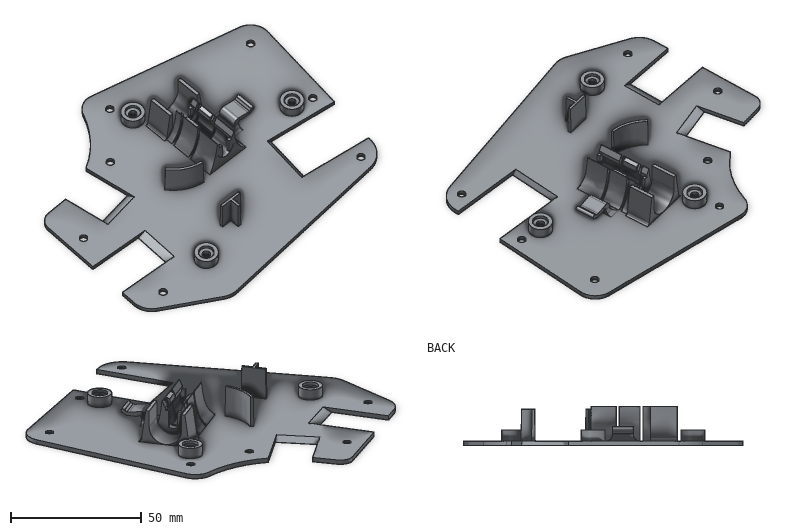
import cadquery as cq
import math

plate_thickness = 1.8
total_height = 15.0
plate_corners = [
    (17.4, 129.8, 8.2),
    (98.7, 119.5, 10.0),
    (107.4, 29.8, 9.3),
    (89.4, 0.1, 9.3),
    (30.1, 2.2, 5.0),
    (29.6, 16.3, 0),
    (24.2, 32.5, 0),
    (5.8, 49.5, 0),
    (-1.0, 52.6, 7.1),
]
scallop_center = (-10.3, 13.9)
scallop_radius = 39.1

notches = [
    (73.8, 90.3, 22.0, 82.8, 1.8),
    (70.1, 27.4, 16.9, -92.6, 3.5),
    (48.4, 27.9, 16.7, 189.0, 3.3),
]
notch_reach = 51.5

hole_diameter = 3.2
plate_holes = [
    (24.3, 120.2), (60.0, 118.9), (93.4, 112.2), (9.8, 59.2), (28.4, 41.4), (48.0, 8.2), (88.0, 12.0),
]
boss_centers = [(57.5, 110.1), (19.3, 62.3), (88.0, 35.0)]
boss_diameter = 9.3
boss_top = 6.0
counterbore_diameter = 6.0
counterbore_depth = 1.3

axis_y = 74.1
axis_z = 8.4

cradle_start = 25.2
cradle_end = 35.6
cradle_radius = 6.4
cradle_top_half_width = 7.8
cradle_knee = (9.5, 3.1)
cradle_foot_bend = (9.9, 2.3)
cradle_foot_half_width = 10.7

clip_end = 59.5
clip_top_end = 58.3
clip_top_half_width = 4.5
clip_foot_half_width = 9.6
clip_waist = (6.0, 6.7)
clip_rim_slope = (0.1, -1.0)
clip_foot_slope = (1.0, -0.6)
clip_end_flare_top = 7.7
clip_bore_radius = 4.0
clip_end_wall = 1.3
clip_rim = 0.1
lip_half_width = 3.1
lip_top = 12.6
end_wall_top = 11.6
throat_half_width = 1.8
clip_gaps = [(38.5, 39.5), (47.6, 48.6)]

hook_profile = [(4.4, 15.0), (2.8, 14.4), (2.5, 12.4), (3.1, 11.6), (4.4, 11.6)]
hook_inset = 0.9
floor_slot_inner = 1.4

lever_start = 42.1
lever_end = 50.2
lever_back = 88.6
lever_front = 86.3
foot_radius = 2.5
lever_shoulder = (87.0, 6.3)
lever_crest = (lever_back, 7.1)
lever_top = [(93.7, 6.2), (94.5, 6.2), (95.5, 6.8)]
lever_tip = (97.0, 6.5)
lever_underside = [(96.4, 5.7), (94.8, 4.8), (90.8, 4.8), (89.5, 5.1)]
lever_armpit = (88.9, 4.9)

rib_top = 14.0
rib_thickness = 1.4
rib_draft = 0.19
curved_rib_center = (41.2, 62.7)
curved_rib_radius = 18.8
curved_rib_angles = (-53.8, -7.0)
tee_stem_x = 80.4
tee_stem_start = 50.3
tee_stem_end = 60.2
tee_branch_y = 55.5
tee_branch_end = 85.2


def rounded_outline(corners):
    """Closed outline through the corners, each rounded by its own tangent arc."""
    outline = cq.Workplane()
    for index, (x, y, radius) in enumerate(corners):
        corner = cq.Vector(x, y)
        back = (cq.Vector(*corners[index - 1][:2]) - corner).normalized()
        ahead = (cq.Vector(*corners[(index + 1) % len(corners)][:2]) - corner).normalized()
        half_angle = back.getAngle(ahead) / 2
        tangent_length = radius / math.tan(half_angle)
        first = corner + back * tangent_length
        if index == 0:
            outline = outline.moveTo(first.x, first.y)
        else:
            outline = outline.lineTo(first.x, first.y)
        if radius > 0:
            inward = (back + ahead).normalized()
            middle = corner + inward * (radius / math.sin(half_angle) - radius)
            last = corner + ahead * tangent_length
            outline = outline.threePointArc((middle.x, middle.y), (last.x, last.y))
    return outline.close()


def box(x_range, y_range, z_range):
    """Axis-aligned box given by its limits."""
    size = [high - low for low, high in (x_range, y_range, z_range)]
    return cq.Workplane().box(*size, centered=False).translate((x_range[0], y_range[0], z_range[0]))


def profile_plane(x):
    """Plane across the clip axis: local x is the offset from the axis, local y is the height."""
    return cq.Workplane("YZ", origin=(x, axis_y, 0))


def notch_cutter(x, y, width, angle, run_out):
    profile = [
        (0, plate_thickness),
        (notch_reach, plate_thickness),
        (notch_reach, 0),
        (run_out, 0),
    ]
    cutter = cq.Workplane("XZ").polyline(profile).close().extrude(width / 2, both=True)
    return cutter.rotate((0, 0, 0), (0, 0, 1), angle).translate((x, y, 0))


def make_plate():
    plate = rounded_outline(plate_corners).extrude(plate_thickness)
    plate = plate.cut(
        cq.Workplane().center(*scallop_center).circle(scallop_radius).extrude(plate_thickness)
    )
    for notch in notches:
        plate = plate.cut(notch_cutter(*notch))
    return plate


def make_cradle():
    foot = (cradle_foot_half_width, plate_thickness)
    left = [(-y, z) for y, z in (foot, cradle_foot_bend, cradle_knee)]
    return (
        profile_plane(cradle_start)
        .moveTo(-cradle_foot_half_width, 0)
        .lineTo(*left[0])
        .threePointArc(left[1], left[2])
        .lineTo(-cradle_top_half_width, total_height)
        .lineTo(-cradle_radius, total_height)
        .lineTo(-cradle_radius, axis_z)
        .threePointArc((0, axis_z - cradle_radius), (cradle_radius, axis_z))
        .lineTo(cradle_radius, total_height)
        .lineTo(cradle_top_half_width, total_height)
        .lineTo(*cradle_knee)
        .threePointArc(cradle_foot_bend, foot)
        .lineTo(cradle_foot_half_width, 0)
        .close()
        .extrude(cradle_end - cradle_start)
    )


def clip_blank():
    """Solid clip whose flanks and free end flare out towards the plate."""
    half = (
        profile_plane(cradle_end)
        .lineTo(0, total_height)
        .lineTo(clip_top_half_width, total_height)
        .spline(
            [clip_waist, (clip_foot_half_width, plate_thickness)],
            tangents=[clip_rim_slope, clip_foot_slope],
            includeCurrent=True,
        )
        .lineTo(clip_foot_half_width, 0)
        .close()
        .extrude(clip_end - cradle_end)
    )
    flare_height = clip_end_flare_top - plate_thickness
    flare_run = clip_end - clip_top_end
    flare_radius = (flare_height**2 + flare_run**2) / (2 * flare_run)
    half_sweep = math.asin(flare_height / flare_radius) / 2
    flare_middle = (
        clip_top_end + flare_radius * (1 - math.cos(half_sweep)),
        clip_end_flare_top - flare_radius * math.sin(half_sweep),
    )
    beyond_end = (
        cq.Workplane("XZ", origin=(0, axis_y, 0))
        .moveTo(clip_end, plate_thickness)
        .threePointArc(flare_middle, (clip_top_end, clip_end_flare_top))
        .lineTo(clip_top_end, total_height)
        .lineTo(clip_end, total_height)
        .close()
        .extrude(clip_foot_half_width, both=True)
    )
    return half.union(half.mirror("XZ", (0, axis_y, 0))).cut(beyond_end)


def clip_cavity():
    """Round bore along the whole clip, opening upwards through an upright lip and a lead-in."""
    lip_bottom = axis_z + math.sqrt(clip_bore_radius**2 - lip_half_width**2)
    mouth_half_width = clip_top_half_width - clip_rim
    return (
        profile_plane(cradle_end)
        .moveTo(-mouth_half_width, total_height)
        .lineTo(-lip_half_width, lip_top)
        .lineTo(-lip_half_width, lip_bottom)
        .threePointArc((0, axis_z - clip_bore_radius), (lip_half_width, lip_bottom))
        .lineTo(lip_half_width, lip_top)
        .lineTo(mouth_half_width, total_height)
        .close()
        .extrude(clip_end - cradle_end)
    )


def end_wall(x_range):
    """Wall across the bore, split by a narrow slot down to the bore floor."""
    half = box(
        x_range,
        (axis_y + throat_half_width, axis_y + clip_top_half_width - clip_rim),
        (axis_z - clip_bore_radius, end_wall_top),
    )
    return half.union(half.mirror("XZ", (0, axis_y, 0)))


def make_clip():
    clip = clip_blank().cut(clip_cavity())
    for wall_start in (cradle_end, clip_top_end - clip_end_wall):
        clip = clip.union(end_wall((wall_start, wall_start + clip_end_wall)))
    for gap in clip_gaps:
        clip = clip.cut(
            box(
                gap,
                (axis_y - clip_foot_half_width, axis_y + clip_foot_half_width),
                (plate_thickness, total_height),
            )
        )
    return clip


def make_hooks():
    """Pair of detent hooks on the middle jaws, set in from both ends of the segment."""
    start = clip_gaps[0][1] + hook_inset
    end = clip_gaps[1][0] - hook_inset
    hook = profile_plane(start).polyline(hook_profile).close().extrude(end - start)
    return hook.union(hook.mirror("XZ", (0, axis_y, 0)))


def floor_slots():
    """Slots through the plate on both sides of the middle segment's floor tongue."""
    slot = box(
        (clip_gaps[0][1], clip_gaps[1][0]),
        (axis_y + floor_slot_inner, axis_y + lip_half_width),
        (0, axis_z),
    )
    return slot.union(slot.mirror("XZ", (0, axis_y, 0)))


def make_lever_foot():
    """Lever foot with concave fillets on three sides that meet in mitred corners."""
    top = plate_thickness + foot_radius
    inset = foot_radius * (1 - math.sqrt(0.5))
    bend_z = plate_thickness + inset
    side_profile = (
        cq.Workplane("XZ", origin=(0, lever_back, 0))
        .moveTo(lever_start - foot_radius, 0)
        .lineTo(lever_start - foot_radius, plate_thickness)
        .threePointArc((lever_start - inset, bend_z), (lever_start, top))
        .lineTo(lever_end, top)
        .threePointArc((lever_end + inset, bend_z), (lever_end + foot_radius, plate_thickness))
        .lineTo(lever_end + foot_radius, 0)
        .close()
        .extrude(lever_back - lever_front + foot_radius)
    )
    front_profile = (
        cq.Workplane("YZ", origin=(lever_start - foot_radius, 0, 0))
        .moveTo(lever_back, 0)
        .lineTo(lever_back, top)
        .lineTo(lever_front, top)
        .threePointArc((lever_front - inset, bend_z), (lever_front - foot_radius, plate_thickness))
        .lineTo(lever_front - foot_radius, 0)
        .close()
        .extrude(lever_end - lever_start + 2 * foot_radius)
    )
    return side_profile.intersect(front_profile)


def make_lever():
    """Lever arm bending back from its foot and ending in an upturned round tip."""
    foot_top = plate_thickness + foot_radius
    arm = (
        cq.Workplane("YZ", origin=(lever_start, 0, 0))
        .moveTo(lever_back, foot_top)
        .lineTo(lever_front, foot_top)
        .threePointArc(lever_shoulder, lever_crest)
        .polyline(lever_top, includeCurrent=True)
        .threePointArc(lever_tip, lever_underside[0])
        .polyline(lever_underside[1:], includeCurrent=True)
        .threePointArc(lever_armpit, (lever_back, foot_top))
        .close()
        .extrude(lever_end - lever_start)
    )
    return arm.union(make_lever_foot())


def upright_rib(outline):
    """Rib wall on the plate drafted towards a thinner top."""
    return outline.extrude(rib_top).faces(">Z").chamfer(rib_top - plate_thickness, rib_draft)


def make_curved_rib():
    def polar(radius, angle):
        x = curved_rib_center[0] + radius * math.cos(math.radians(angle))
        y = curved_rib_center[1] + radius * math.sin(math.radians(angle))
        return (x, y)

    inner = curved_rib_radius - rib_thickness / 2
    outer = curved_rib_radius + rib_thickness / 2
    start, end = curved_rib_angles
    middle = (start + end) / 2
    return upright_rib(
        cq.Workplane()
        .moveTo(*polar(inner, start))
        .threePointArc(polar(inner, middle), polar(inner, end))
        .lineTo(*polar(outer, end))
        .threePointArc(polar(outer, middle), polar(outer, start))
        .close()
    )


def make_tee_rib():
    half = rib_thickness / 2
    return upright_rib(
        cq.Workplane()
        .polyline(
            [
                (tee_stem_x - half, tee_stem_start),
                (tee_stem_x + half, tee_stem_start),
                (tee_stem_x + half, tee_branch_y - half),
                (tee_branch_end, tee_branch_y - half),
                (tee_branch_end, tee_branch_y + half),
                (tee_stem_x + half, tee_branch_y + half),
                (tee_stem_x + half, tee_stem_end),
                (tee_stem_x - half, tee_stem_end),
            ]
        )
        .close()
    )


def make_bosses():
    return cq.Workplane().pushPoints(boss_centers).circle(boss_diameter / 2).extrude(boss_top)


def screw_holes():
    holes = cq.Workplane().pushPoints(plate_holes + boss_centers).circle(hole_diameter / 2).extrude(boss_top)
    counterbores = (
        cq.Workplane(origin=(0, 0, boss_top - counterbore_depth))
        .pushPoints(boss_centers)
        .circle(counterbore_diameter / 2)
        .extrude(counterbore_depth)
    )
    return holes.union(counterbores)


part = make_plate()
for feature in (
    make_cradle(),
    make_clip(),
    make_hooks(),
    make_lever(),
    make_curved_rib(),
    make_tee_rib(),
    make_bosses(),
):
    part = part.union(feature)

result = part.cut(floor_slots()).cut(screw_holes())